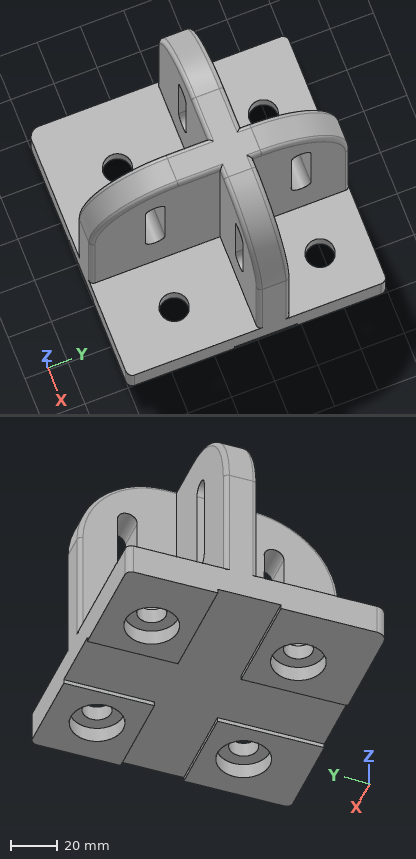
import cadquery as cq

side = 120.0
total_height = 110.0
base_thickness = 15.0
large_corner_radius = 5.0
small_corner_radius = 3.0

wall_thickness = 15.0
wall_near_face = side / 2
wall_center = wall_near_face + wall_thickness / 2
wall_arc_radius = 40.7
wall_edge_fillet = 2.0

near_center = wall_near_face / 2
far_center = (wall_near_face + wall_thickness + side) / 2
opening_centers = (near_center, far_center)
hole_diameter = 13.0
counterbore_diameter = 24.0
counterbore_depth = base_thickness / 2
slot_width = 9.0
slot_length = 49.0
slot_center_height = 65.0

channel_width = 29.0
channel_depth = 2.0
channel_center = (near_center + far_center) / 2


def make_base():
    """Square plate with one large and three small rounded corners."""
    plate = cq.Workplane("XY").box(side, side, base_thickness, centered=False)
    plate = plate.edges("|Z and (>X or >Y)").fillet(small_corner_radius)
    return plate.edges("|Z").edges("<(1, 1, 0)").fillet(large_corner_radius)


def make_wall():
    """Round-shouldered wall running along X, with its long edges filleted and two upright slots."""
    wall_height = total_height - base_thickness
    wall = cq.Workplane("XY").box(side, wall_thickness, wall_height, centered=False)
    wall = wall.translate((0, wall_near_face, base_thickness))
    wall = wall.edges("|Y and >Z").fillet(wall_arc_radius)
    wall = wall.faces("<Y or >Y").edges("not <Z").fillet(wall_edge_fillet)
    slots = (
        cq.Workplane("XZ", origin=(0, wall_center, 0))
        .pushPoints([(x, slot_center_height) for x in opening_centers])
        .slot2D(slot_length, slot_width, 90)
        .extrude(wall_thickness, both=True)
    )
    return wall.cut(slots)


def make_bolt_holes():
    """Four through holes, one in each quarter of the base, counterbored from below."""
    centers = cq.Workplane("XY").pushPoints([(x, y) for x in opening_centers for y in opening_centers])
    shanks = centers.circle(hole_diameter / 2).extrude(base_thickness)
    counterbores = centers.circle(counterbore_diameter / 2).extrude(counterbore_depth)
    return shanks.union(counterbores)


def make_channels():
    """Two shallow channels crossing the full underside of the base."""
    start = channel_center - channel_width / 2
    along_x = cq.Workplane("XY").box(side, channel_width, channel_depth, centered=False)
    along_y = cq.Workplane("XY").box(channel_width, side, channel_depth, centered=False)
    return along_x.translate((0, start, 0)).union(along_y.translate((start, 0, 0)))


def swap_x_and_y(body):
    """Mirror a body across the upright plane x = y."""
    return body.mirror("XZ").rotate((0, 0, 0), (0, 0, 1), 90)


wall_along_x = make_wall()
wall_along_y = swap_x_and_y(wall_along_x)

result = make_base().union(wall_along_x).union(wall_along_y)
result = result.cut(make_bolt_holes()).cut(make_channels())